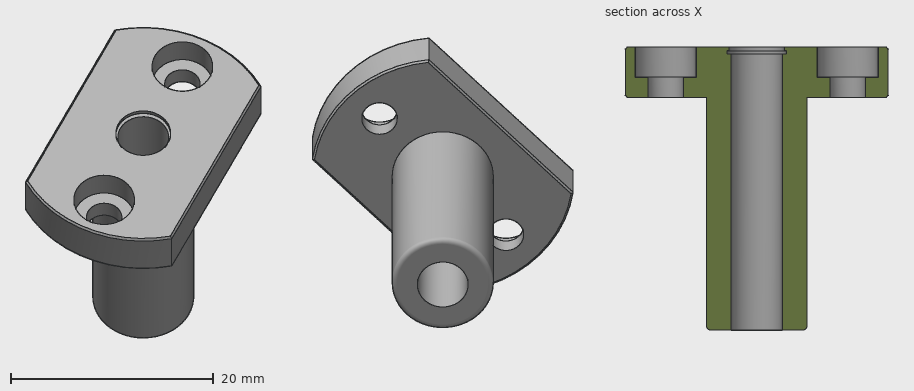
import cadquery as cq

total_height = 28.0
head_diameter = 26.0
head_width = 16.0
head_thickness = 5.0
head_chamfer = 0.2

shaft_diameter = 10.0
shaft_end_radius = 0.5

bore_diameter = 5.0
bore_mouth_diameter = 5.4
bore_mouth_depth = 0.4
groove_diameter = 5.8
groove_width = 0.3

screw_offset = 9.0
screw_hole_diameter = 3.5
counterbore_diameter = 6.0
counterbore_depth = 3.0

shaft_length = total_height - head_thickness


def make_head():
    """Round flange with two flats facing -X and +X, chamfered on both rims."""
    head_base = cq.Workplane("XY").workplane(offset=shaft_length)
    disc = head_base.circle(head_diameter / 2).extrude(head_thickness)
    flats = cq.Workplane("XY").rect(head_width, head_diameter).extrude(total_height)
    return disc.intersect(flats).faces("<Z or >Z").edges().chamfer(head_chamfer)


def make_shaft():
    """Cylindrical shaft below the head, rounded at its free end."""
    shaft = cq.Workplane("XY").circle(shaft_diameter / 2).extrude(shaft_length)
    return shaft.faces("<Z").edges().fillet(shaft_end_radius)


def cut_screw_holes(body):
    """Counterbored screw holes on either side of the shaft."""
    return (
        body.faces(">Z")
        .workplane(origin=(0, 0, total_height))
        .pushPoints([(0, -screw_offset), (0, screw_offset)])
        .cboreHole(screw_hole_diameter, counterbore_diameter, counterbore_depth, depth=head_thickness)
    )


def bore_section(diameter, top, depth):
    """Cylinder on the bore axis reaching down from the given height."""
    return cq.Workplane("XY").workplane(offset=top - depth).circle(diameter / 2).extrude(depth)


def cut_bore(body):
    """Central through bore with a wider mouth and a ring groove just below it."""
    bore = bore_section(bore_diameter, total_height, total_height)
    mouth = bore_section(bore_mouth_diameter, total_height, bore_mouth_depth)
    groove = bore_section(groove_diameter, total_height - bore_mouth_depth, groove_width)
    return body.cut(bore).cut(mouth).cut(groove)


result = cut_bore(cut_screw_holes(make_head().union(make_shaft())))